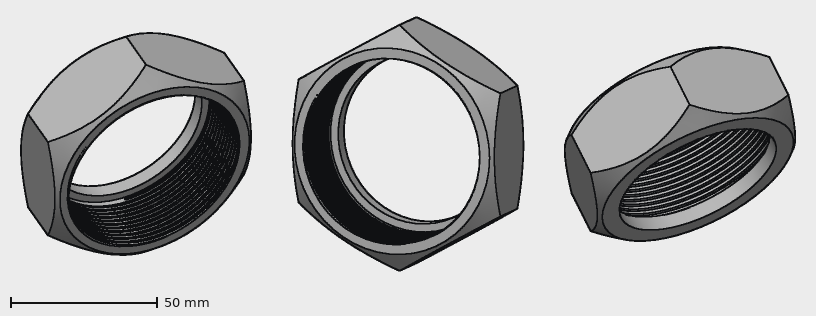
import cadquery as cq
import math

nut_width = 30.0
across_flats = 74.0
chamfer_face_diameter = 71.5
chamfer_angle = 45.0

lip_bore_diameter = 58.6
thread_minor_diameter = 64.2
thread_major_diameter = 65.6
thread_pitch = 2.0
thread_vee_angle = 60.0
lip_length = 5.5
thread_start_gap = 0.35
thread_run_out = 0.3
groove_overlap = 0.3

across_corners = across_flats / math.cos(math.radians(30))
minor_radius = thread_minor_diameter / 2
half_vee = math.radians(thread_vee_angle / 2)


def hexagon_blank():
    """Hexagonal prism along X with corners on the Z axis."""
    return (
        cq.Workplane("YZ")
        .polygon(6, across_corners)
        .extrude(nut_width / 2, both=True)
        .rotate((0, 0, 0), (1, 0, 0), 90)
    )


def chamfer_envelope():
    """Turned solid whose conical ends bevel the hexagon corners."""
    half_width = nut_width / 2
    face_radius = chamfer_face_diameter / 2
    corner_radius = across_corners / 2
    chamfer_depth = (corner_radius - face_radius) * math.tan(math.radians(chamfer_angle))
    return (
        cq.Workplane("XY")
        .moveTo(-half_width, 0)
        .lineTo(-half_width, face_radius)
        .lineTo(-half_width + chamfer_depth, corner_radius)
        .lineTo(half_width - chamfer_depth, corner_radius)
        .lineTo(half_width, face_radius)
        .lineTo(half_width, 0)
        .close()
        .revolve(360, (0, 0, 0), (1, 0, 0))
    )


def bore():
    """Through hole at the lip, opened to the thread crest behind it."""
    lip_hole = cq.Workplane("YZ").circle(lip_bore_diameter / 2).extrude(nut_width / 2, both=True)
    thread_bore = (
        cq.Workplane("YZ")
        .workplane(offset=-nut_width / 2 + lip_length)
        .circle(minor_radius)
        .extrude(nut_width - lip_length)
    )
    return lip_hole.union(thread_bore)


def thread_groove():
    """Right-hand helical vee groove, swept along Z and then laid along X."""
    root_radius = thread_major_diameter / 2
    inner_radius = minor_radius - groove_overlap
    half_crest_width = (root_radius - minor_radius) * math.tan(half_vee)
    half_opening = (root_radius - inner_radius) * math.tan(half_vee)
    start = -nut_width / 2 + lip_length + half_crest_width + thread_start_gap
    length = nut_width / 2 + thread_run_out - start
    path = cq.Wire.makeHelix(thread_pitch, length, minor_radius)
    groove = (
        cq.Workplane("XZ")
        .moveTo(inner_radius, -half_opening)
        .lineTo(root_radius, 0)
        .lineTo(inner_radius, half_opening)
        .close()
        .sweep(cq.Workplane("XY").add(path), isFrenet=True)
    )
    return groove.rotate((0, 0, 0), (0, 1, 0), 90).translate((start, 0, 0))


result = hexagon_blank().intersect(chamfer_envelope()).cut(bore()).cut(thread_groove())